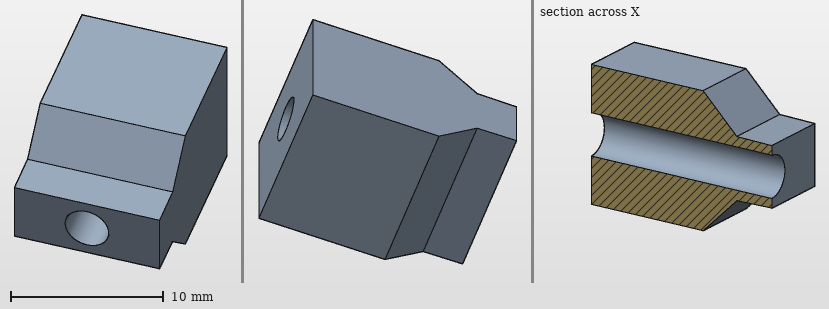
import cadquery as cq

width = 10.0
length = 14.26
height = 9.8

nose_length = 2.77
nose_tip_height = 4.39
nose_root_height = 4.5
shoulder_length = 2.67

bore_diameter = 3.0

tip_y = -length / 2
nose_root_y = tip_y + nose_length
shoulder_y = nose_root_y + shoulder_length
back_y = length / 2


def make_body():
    """Extrude the symmetric side profile across the full width."""
    upper_edge = [
        (tip_y, nose_tip_height / 2),
        (nose_root_y, nose_root_height / 2),
        (shoulder_y, height / 2),
        (back_y, height / 2),
    ]
    lower_edge = [(y, -z) for y, z in reversed(upper_edge)]
    profile = cq.Workplane("YZ").polyline(upper_edge + lower_edge).close()
    return profile.extrude(width / 2, both=True)


def make_bore():
    """Make the cylinder removed along the Y axis."""
    return cq.Workplane("XZ").circle(bore_diameter / 2).extrude(length / 2, both=True)


result = make_body().cut(make_bore())